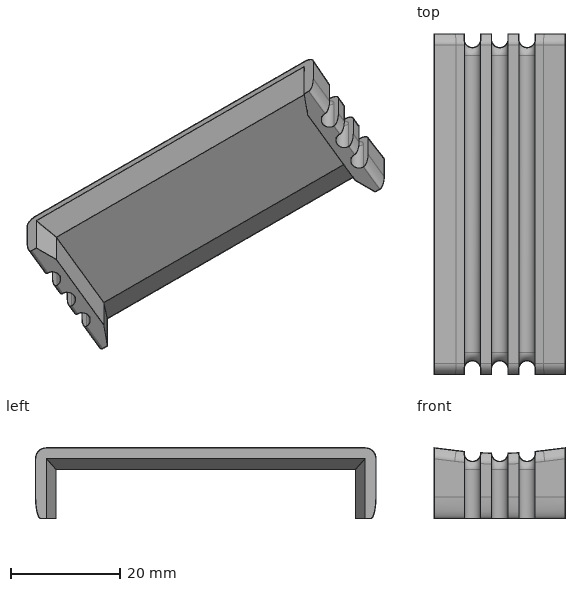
import cadquery as cq
import math

WIDTH = 24.0
LENGTH = 62.4
HEIGHT = 13.0

SIDE_BAND = 4.0
SIDE_DROP = 0.5
CORNER_RADIUS = 2.0

FOOT_INSET = 1.0
FOOT_HEIGHT = 4.0

EDGE_THICKNESS = 2.0
LEG_THICKNESS = 3.8
BRIDGE_UNDERSIDE = 9.0

GROOVE_PITCH = 5.0
GROOVE_COUNT = 3
GROOVE_RADIUS = 1.5
GROOVE_AXIS_DEPTH = 1.0
GROOVE_BEND_INSET = 4.0

half_width = WIDTH / 2
half_length = LENGTH / 2
middle_half_width = half_width - SIDE_BAND
slope_angle = math.atan2(SIDE_DROP, SIDE_BAND)
band_end_z = HEIGHT - SIDE_DROP
arc_sagitta = middle_half_width * math.tan(slope_angle / 2)


def make_body():
    """Solid block with the dished top and rounded top ends."""
    profile = (
        cq.Workplane("XZ")
        .moveTo(-half_width, 0)
        .lineTo(half_width, 0)
        .lineTo(half_width, HEIGHT)
        .lineTo(middle_half_width, band_end_z)
        .threePointArc((0, band_end_z - arc_sagitta), (-middle_half_width, band_end_z))
        .lineTo(-half_width, HEIGHT)
        .close()
    )
    block = profile.extrude(half_length, both=True)
    upper_half = cq.selectors.BoxSelector(
        (-WIDTH, -LENGTH, HEIGHT / 2), (WIDTH, LENGTH, HEIGHT * 2)
    )
    top_end_edges = block.faces("<Y or >Y").edges("not |Z").edges(upper_half)
    return block.newObject(top_end_edges.vals()).fillet(CORNER_RADIUS)


def make_foot_cutter():
    """Waste outside the quarter ellipse at the foot of the +Y leg."""
    corner_block = (
        cq.Workplane("YZ")
        .rect(FOOT_INSET, FOOT_HEIGHT, centered=False)
        .extrude(half_width, both=True)
        .translate((0, half_length - FOOT_INSET, 0))
    )
    rounded_foot = (
        cq.Workplane("YZ")
        .center(half_length - FOOT_INSET, FOOT_HEIGHT)
        .ellipse(FOOT_INSET, FOOT_HEIGHT)
        .extrude(half_width, both=True)
    )
    return corner_block.cut(rounded_foot)


def make_cavity():
    """Space under the bridge, flaring out towards both X sides."""
    inner_half_length = half_length - LEG_THICKNESS
    edge_half_length = half_length - EDGE_THICKNESS
    edge_underside = HEIGHT - EDGE_THICKNESS
    core = cq.Workplane("XY").box(
        2 * middle_half_width, 2 * inner_half_length, BRIDGE_UNDERSIDE, centered=(True, True, False)
    )
    flare = (
        cq.Workplane("YZ", origin=(middle_half_width, 0, 0))
        .center(0, BRIDGE_UNDERSIDE / 2)
        .rect(2 * inner_half_length, BRIDGE_UNDERSIDE)
        .workplane(offset=SIDE_BAND)
        .center(0, (edge_underside - BRIDGE_UNDERSIDE) / 2)
        .rect(2 * edge_half_length, edge_underside)
        .loft(ruled=True)
    )
    return core.union(flare).union(flare.mirror("YZ"))


def groove_path():
    """Open YZ path of the groove axis: up one leg, across the top, down the other."""
    bend_radius = GROOVE_BEND_INSET - GROOVE_AXIS_DEPTH
    path_half_length = half_length - GROOVE_AXIS_DEPTH
    path_top = HEIGHT - GROOVE_AXIS_DEPTH
    bend_y = half_length - GROOVE_BEND_INSET
    bend_z = HEIGHT - GROOVE_BEND_INSET
    diagonal = bend_radius * math.sqrt(0.5)
    return (
        cq.Workplane("YZ")
        .moveTo(-path_half_length, 0)
        .lineTo(-path_half_length, bend_z)
        .threePointArc((-bend_y - diagonal, bend_z + diagonal), (-bend_y, path_top))
        .lineTo(bend_y, path_top)
        .threePointArc((bend_y + diagonal, bend_z + diagonal), (path_half_length, bend_z))
        .lineTo(path_half_length, 0)
    )


def make_groove_cutter():
    """Cutter for the groove at X = 0: straight walls on a half-round bottom."""
    envelope = cq.Workplane("XY").box(
        2 * GROOVE_RADIUS, LENGTH, HEIGHT, centered=(True, True, False)
    )
    kept_inside = groove_path().close().extrude(GROOVE_RADIUS, both=True)
    round_bottom = (
        cq.Workplane("XY", origin=(0, -half_length + GROOVE_AXIS_DEPTH, 0))
        .circle(GROOVE_RADIUS)
        .sweep(groove_path())
    )
    return envelope.cut(kept_inside).union(round_bottom)


foot_cutter = make_foot_cutter()
result = make_body().cut(foot_cutter).cut(foot_cutter.mirror("XZ")).cut(make_cavity())

groove_cutter = make_groove_cutter()
for index in range(GROOVE_COUNT):
    groove_x = (index - (GROOVE_COUNT - 1) / 2) * GROOVE_PITCH
    result = result.cut(groove_cutter.translate((groove_x, 0, 0)))